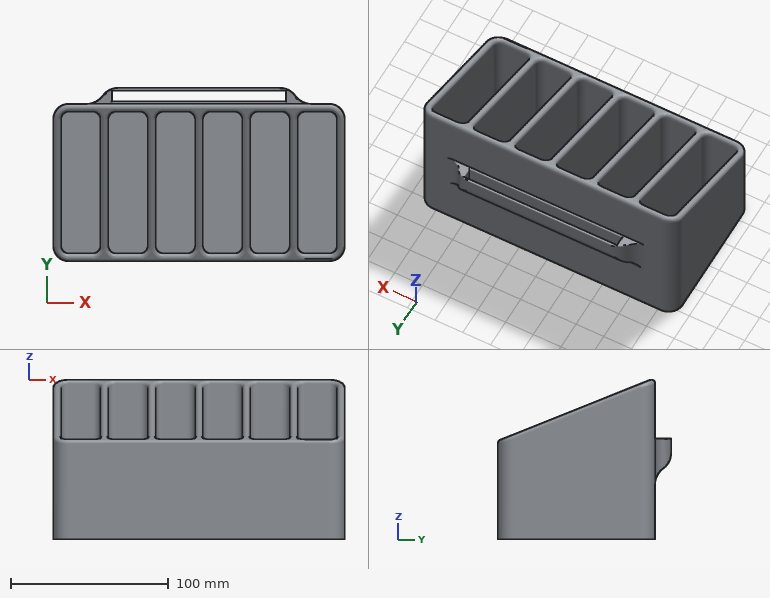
import cadquery as cq
import math

width = 185.0
body_depth = 99.9
back_height = 102.5
front_height = 62.5
wall = 5.0
corner_radius = 10.0
rim_flat = 0.004
rim_radius = (wall - rim_flat) / 2

compartments = 6
pitch = (width - wall) / compartments
pocket_width = pitch - wall
pocket_depth = body_depth - 2 * wall
pocket_radius = corner_radius - wall

loop_reach = 10.2
loop_top = 64.0
strap_height = 9.0
flare = 20.0
strap_width = 102.1
slot_width = 110.0
loop_root = 1.8
strap_edge_radius = 0.5
strap_thickness = 2.0
backing_thickness = 1.7


def body_block():
    """Rounded block cut off by the sloping top plane."""
    side_outline = [(0, 0), (body_depth, 0), (body_depth, back_height), (0, front_height)]
    wedge = cq.Workplane("YZ").polyline(side_outline).close().extrude(width / 2, both=True)
    return wedge.edges("|Z").fillet(corner_radius)


def pockets():
    """Row of equal rounded compartments, open at the top."""
    first_x = -pitch * (compartments - 1) / 2
    centers = [(first_x + i * pitch, body_depth / 2) for i in range(compartments)]
    return (
        cq.Workplane("XY", origin=(0, 0, wall))
        .pushPoints(centers)
        .rect(pocket_width, pocket_depth)
        .extrude(back_height)
        .edges("|Z")
        .fillet(pocket_radius)
    )


def blend_points(along, direction):
    """Points of an S of two equal arcs, from the strap face at `along` down to the wall.

    Each point is (position along the wall, distance out from the wall). The S leaves both
    ends parallel to the wall and turns over at its middle.
    """
    turn = 2 * math.atan(loop_reach / flare)
    radius = flare / (2 * math.sin(turn))
    quarter_run = radius * math.sin(turn / 2)
    quarter_drop = radius * (1 - math.cos(turn / 2))
    return [
        (along, loop_reach),
        (along + direction * quarter_run, loop_reach - quarter_drop),
        (along + direction * flare / 2, loop_reach / 2),
        (along + direction * (flare - quarter_run), quarter_drop),
        (along + direction * flare, 0),
    ]


def strap_loop():
    """Loop whose ends and underside blend into the back wall, with an open vertical slot."""
    half_strap = strap_width / 2
    loop_base = loop_top - strap_height - flare
    loop_height = loop_top - loop_base

    left = blend_points(-half_strap, -1)
    right = blend_points(half_strap, 1)
    plan = (
        cq.Workplane("XY", origin=(0, body_depth, loop_base))
        .moveTo(*left[4])
        .threePointArc(left[3], left[2])
        .threePointArc(left[1], left[0])
        .lineTo(*right[0])
        .threePointArc(right[1], right[2])
        .threePointArc(right[3], right[4])
        .lineTo(half_strap + flare, -loop_root)
        .lineTo(-half_strap - flare, -loop_root)
        .close()
        .extrude(loop_height)
    )

    under = [(out, z) for z, out in blend_points(loop_top - strap_height, -1)]
    side = (
        cq.Workplane("YZ", origin=(0, body_depth, 0))
        .moveTo(-loop_root, loop_top)
        .lineTo(loop_reach, loop_top)
        .lineTo(*under[0])
        .threePointArc(under[1], under[2])
        .threePointArc(under[3], under[4])
        .lineTo(-loop_root, loop_base)
        .close()
        .extrude(half_strap + flare, both=True)
    )

    slot_depth = loop_reach - strap_thickness - backing_thickness
    slot = (
        cq.Workplane("XY", origin=(0, body_depth + backing_thickness + slot_depth / 2, loop_base))
        .rect(slot_width, slot_depth)
        .extrude(loop_height)
    )
    loop = plan.intersect(side).cut(slot)
    return loop.faces(">Z").edges().fillet(strap_edge_radius)


bin_body = body_block().cut(pockets())
bin_body = bin_body.faces(">Z").edges().fillet(rim_radius)
result = bin_body.union(strap_loop())